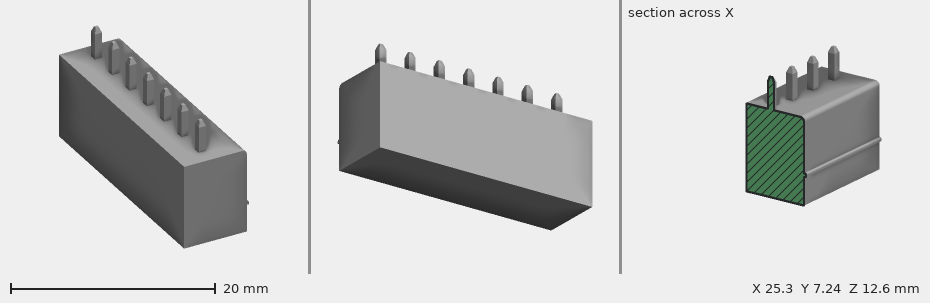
import cadquery as cq

HOUSING_LENGTH = 25.3
HOUSING_DEPTH = 7.0
HOUSING_HEIGHT = 9.2
REAR_TOP_RADIUS = 0.5

RIB_DEPTH = 0.24
RIB_BOTTOM = 3.0
RIB_HEIGHT = 0.4
RIB_TOP_RADIUS = 0.2

PIN_COUNT = 7
PIN_PITCH = 3.5
PIN_WIDTH = 0.8
PIN_LENGTH = 3.4
PIN_TIP_HEIGHT = 0.6
PIN_TIP_WIDTH = 0.35
PIN_ROW_Y = 3.0


def make_housing():
    block = cq.Workplane("XY").box(
        HOUSING_LENGTH, HOUSING_DEPTH, HOUSING_HEIGHT, centered=(True, False, False)
    )
    return block.edges(">Y and >Z").fillet(REAR_TOP_RADIUS)


def make_rib():
    rib = cq.Workplane("XY", origin=(0, HOUSING_DEPTH, RIB_BOTTOM)).box(
        HOUSING_LENGTH, RIB_DEPTH, RIB_HEIGHT, centered=(True, False, False)
    )
    return rib.edges(">Y and >Z").fillet(RIB_TOP_RADIUS)


def make_pin(x):
    shank_length = PIN_LENGTH - PIN_TIP_HEIGHT
    shank = (
        cq.Workplane("XY", origin=(x, PIN_ROW_Y, HOUSING_HEIGHT))
        .rect(PIN_WIDTH, PIN_WIDTH)
        .extrude(shank_length)
    )
    tip = (
        cq.Workplane("XY", origin=(x, PIN_ROW_Y, HOUSING_HEIGHT + shank_length))
        .rect(PIN_WIDTH, PIN_WIDTH)
        .workplane(offset=PIN_TIP_HEIGHT)
        .rect(PIN_TIP_WIDTH, PIN_TIP_WIDTH)
        .loft(ruled=True)
    )
    return shank.union(tip)


result = make_housing().union(make_rib())
first_pin_x = -PIN_PITCH * (PIN_COUNT - 1) / 2
for pin_index in range(PIN_COUNT):
    result = result.union(make_pin(first_pin_x + pin_index * PIN_PITCH))